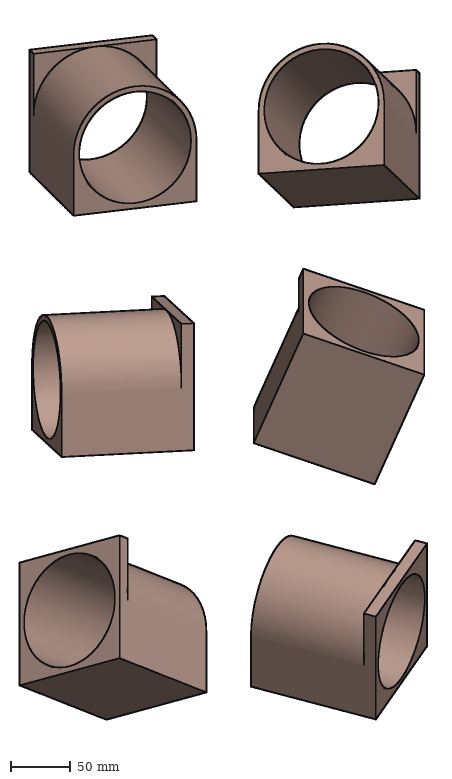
import cadquery as cq

length = 115.0
width = 110.0
bore_diameter = 100.0
flange_thickness = 11.0

half_width = width / 2

flange = cq.Workplane("YZ").rect(width, width).extrude(flange_thickness)

body = (
    cq.Workplane("YZ")
    .moveTo(-half_width, -half_width)
    .lineTo(half_width, -half_width)
    .lineTo(half_width, 0)
    .threePointArc((0, half_width), (-half_width, 0))
    .close()
    .extrude(length)
)

bore = cq.Workplane("YZ").circle(bore_diameter / 2).extrude(length)

result = flange.union(body).cut(bore)